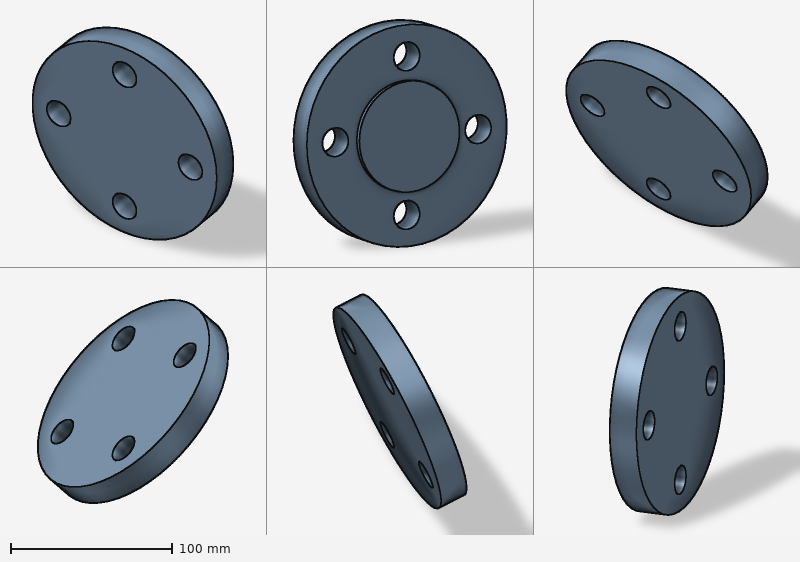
import cadquery as cq

flange_diameter = 140.0
flange_thickness = 18.0
total_thickness = 21.5
face_diameter = 70.0
bolt_circle_diameter = 100.0
bolt_hole_diameter = 18.0
bolt_hole_count = 4

face_height = total_thickness - flange_thickness

flange = cq.Workplane("XZ").circle(flange_diameter / 2).extrude(-flange_thickness)

raised_face = (
    cq.Workplane("XZ", origin=(0, flange_thickness, 0))
    .circle(face_diameter / 2)
    .extrude(-face_height)
)

bolt_holes = (
    cq.Workplane("XZ")
    .polarArray(bolt_circle_diameter / 2, 0, 360, bolt_hole_count)
    .circle(bolt_hole_diameter / 2)
    .extrude(-flange_thickness)
)

result = flange.union(raised_face).cut(bolt_holes)